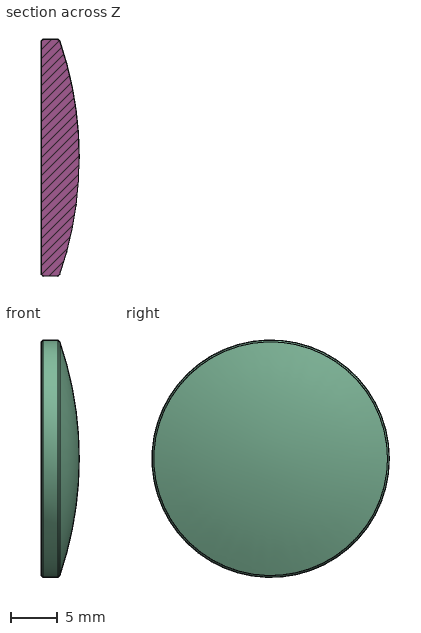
import cadquery as cq

diameter = 25.4
center_thickness = 4.1
rim_thickness = 2.0
bevel = 0.2

radius = diameter / 2
face_radius = radius - bevel

dome_height = center_thickness - rim_thickness
sphere_radius = (face_radius**2 + dome_height**2) / (2 * dome_height)
sphere_center = center_thickness - sphere_radius

mid_radius = face_radius / 2
mid_x = sphere_center + (sphere_radius**2 - mid_radius**2) ** 0.5

half_section = (
    cq.Workplane("XY")
    .moveTo(0, 0)
    .lineTo(0, face_radius)
    .lineTo(bevel, radius)
    .lineTo(rim_thickness - bevel, radius)
    .lineTo(rim_thickness, face_radius)
    .threePointArc((mid_x, mid_radius), (center_thickness, 0))
    .close()
)

result = half_section.revolve(360, (0, 0, 0), (1, 0, 0))